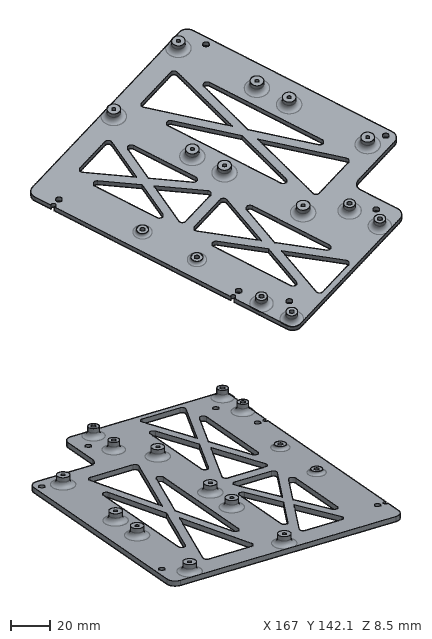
import cadquery as cq
import math

plate_length = 167.0
plate_width = 141.8
plate_thickness = 3.0
plate_corner_radius = 5.0
step_x = 134.1
step_y = 99.2

brace_width = 5.0
window_corner_radius = 2.0
window_left = 12.4
upper_window_right = 122.9
upper_window_y = (79.8, 116.7)
lower_window_y = (23.9, 58.5)
lower_left_window_right = 78.0
lower_right_window_x = (83.8, 163.7)

overall_height = 8.5
tall_height = overall_height - plate_thickness
low_height = 2.0
tall_flare_radius = 3.0
low_flare_radius = 1.8
front_overhang = 0.3

large_diameter = 7.0
large_bore = 2.0
large_xs = (6.0, 55.0, 75.0, 123.9)
large_ys = (69.3, 127.3)

small_diameter = 6.0
small_bore = 2.5
small_xs = (142.6, 161.5)
small_ys = (5.0, 84.0)

low_diameter = 6.2
low_bore = 2.5
low_xs = (64.1, 98.0)
low_y = 11.4

mount_hole_diameter = 3.3
mount_xs = (16.0, 128.0)
mount_ys = (5.7, 137.6)
side_mount_x = 153.3
side_mount_ys = (14.5, 92.5)
notch_diameter = 2.5
notch_center_y = 0.8


def grid(xs, ys):
    """All (x, y) pairs of the given columns and rows."""
    return [(x, y) for x in xs for y in ys]


def make_plate():
    outline = [
        (0, 0),
        (plate_length, 0),
        (plate_length, step_y),
        (step_x, step_y),
        (step_x, plate_width),
        (0, plate_width),
    ]
    plate = cq.Workplane("XY").polyline(outline).close().extrude(plate_thickness)
    return plate.edges("|Z").fillet(plate_corner_radius)


def make_window(x_range, y_range):
    """Four triangular openings left around a diagonal cross in a rectangle."""
    length = x_range[1] - x_range[0]
    width = y_range[1] - y_range[0]
    center = (sum(x_range) / 2, sum(y_range) / 2)
    window = cq.Workplane("XY").center(*center).rect(length, width).extrude(plate_thickness)

    diagonal = math.hypot(length, width)
    angle = math.degrees(math.atan2(width, length))
    for turn in (angle, -angle):
        brace = (
            cq.Workplane("XY")
            .rect(2 * diagonal, brace_width)
            .extrude(plate_thickness)
            .rotate((0, 0, 0), (0, 0, 1), turn)
            .translate((center[0], center[1], 0))
        )
        window = window.cut(brace)

    inset = brace_width / 2
    crossing = cq.selectors.BoxSelector(
        (x_range[0] + inset, y_range[0] + inset, -plate_thickness),
        (x_range[1] - inset, y_range[1] - inset, 2 * plate_thickness),
    )
    frame_corners = cq.selectors.InverseSelector(crossing)
    return window.edges("|Z").edges(frame_corners).fillet(window_corner_radius)


def make_standoff(diameter, height, flare_radius):
    """Round post on the plate's top face whose foot flares out in a concave arc."""
    radius = diameter / 2
    arc_offset = flare_radius * (1 - math.sqrt(0.5))
    profile = (
        cq.Workplane("XZ")
        .lineTo(radius + flare_radius, 0)
        .threePointArc((radius + arc_offset, arc_offset), (radius, flare_radius))
        .lineTo(radius, height)
        .lineTo(0, height)
        .close()
    )
    return profile.revolve(360, (0, 0, 0), (0, 1, 0)).translate((0, 0, plate_thickness))


def add_standoffs(body, positions, standoff, bore):
    for x, y in positions:
        body = body.union(standoff.translate((x, y, 0)))
    return cut_holes(body, positions, bore)


def cut_holes(body, positions, diameter):
    """Round holes through the full height."""
    holes = cq.Workplane("XY").pushPoints(positions).circle(diameter / 2).extrude(overall_height)
    return body.cut(holes)


result = make_plate()

for x_range, y_range in (
    ((window_left, upper_window_right), upper_window_y),
    ((window_left, lower_left_window_right), lower_window_y),
    (lower_right_window_x, lower_window_y),
):
    result = result.cut(make_window(x_range, y_range))

large_standoff = make_standoff(large_diameter, tall_height, tall_flare_radius)
small_standoff = make_standoff(small_diameter, tall_height, tall_flare_radius)
low_standoff = make_standoff(low_diameter, low_height, low_flare_radius)

result = add_standoffs(result, grid(large_xs, large_ys), large_standoff, large_bore)
result = add_standoffs(result, grid(small_xs, small_ys), small_standoff, small_bore)
result = add_standoffs(result, grid(low_xs, (low_y,)), low_standoff, low_bore)

trim_block = (
    cq.Workplane("XY")
    .box(plate_length, plate_width + front_overhang, overall_height, centered=False)
    .edges("|Z")
    .fillet(plate_corner_radius)
    .translate((0, -front_overhang, 0))
)
result = result.intersect(trim_block)

result = cut_holes(result, grid(mount_xs, mount_ys), mount_hole_diameter)
result = cut_holes(result, grid((side_mount_x,), side_mount_ys), mount_hole_diameter)
result = cut_holes(result, grid(mount_xs, (notch_center_y,)), notch_diameter)